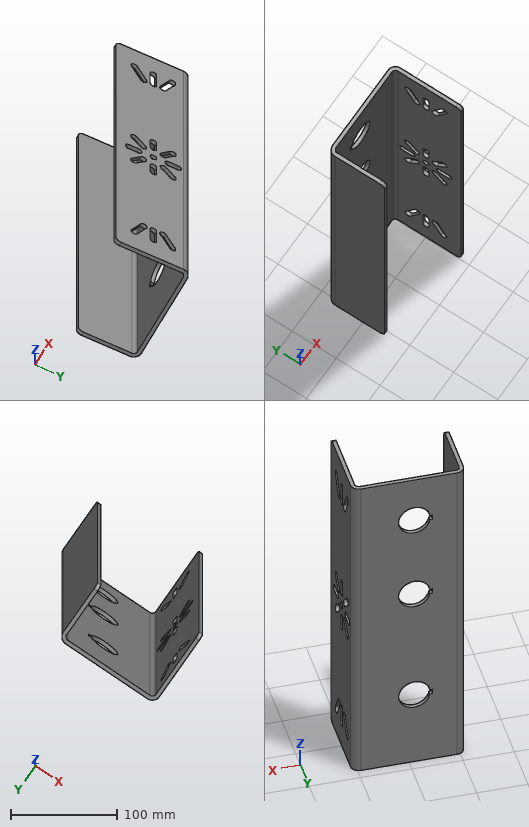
import cadquery as cq
import math

WIDTH = 110.0
DEPTH = 80.0
HEIGHT = 343.0
SHORT_FLANGE_DEPTH = 64.8
THICKNESS = 4.0
INNER_BEND_RADIUS = 4.0
CORNER_RADIUS = 6.0

KEYED_HOLE_DIAMETER = 30.5
KEYED_HOLE_X = -5.0
KEYED_HOLE_HEIGHTS = (122.5, 32.5, -90.0)
KEY_WIDTH = 4.8
KEY_REACH = 18.0

SLOT_WIDTH = 7.0
STAR_SLOT_COUNT = 8
STRAIGHT_SLOT_START = 15.8
STRAIGHT_SLOT_END = 26.0
DIAGONAL_SLOT_START = 15.0
DIAGONAL_SLOT_END = 29.0
FAN_CENTRE_HEIGHT = 108.5
FAN_INNER_RISE = 18.0
FAN_OUTER_RISE = 35.0
FAN_ANGLE = 30.0

half_width = WIDTH / 2
back = DEPTH / 2
front = -DEPTH / 2
short_front = back - SHORT_FLANGE_DEPTH
cut_depth = 3 * THICKNESS


def make_channel():
    """Bent sheet with an unequal U section, extruded along Z."""
    outer_bend_radius = INNER_BEND_RADIUS + THICKNESS
    outer = (
        cq.Workplane("XY")
        .rect(WIDTH, DEPTH)
        .extrude(HEIGHT / 2, both=True)
        .edges("|Z and >Y")
        .fillet(outer_bend_radius)
    )
    inner = (
        cq.Workplane("XY")
        .center(0, -THICKNESS)
        .rect(WIDTH - 2 * THICKNESS, DEPTH)
        .extrude(HEIGHT / 2, both=True)
        .edges("|Z and >Y")
        .fillet(INNER_BEND_RADIUS)
    )
    short_flange_trim = (
        cq.Workplane("XY", origin=(-half_width, front, 0))
        .box(half_width, short_front - front, HEIGHT, centered=(False, False, True))
    )
    channel = outer.cut(inner).cut(short_flange_trim)
    for flange_front in (front, short_front):
        free_edge_zone = cq.selectors.BoxSelector(
            (-WIDTH, flange_front - THICKNESS, -HEIGHT),
            (WIDTH, flange_front + THICKNESS, HEIGHT),
        )
        channel = channel.edges(free_edge_zone).edges("|X").fillet(CORNER_RADIUS)
    return channel


def keyed_hole(height):
    """Round cutter through the web with a key notch on its -X side."""
    plane = cq.Workplane("XZ", origin=(KEYED_HOLE_X, back, height))
    bore = plane.circle(KEYED_HOLE_DIAMETER / 2).extrude(cut_depth, both=True)
    key = plane.center(-KEY_REACH / 2, 0).rect(KEY_REACH, KEY_WIDTH).extrude(cut_depth, both=True)
    return bore.union(key)


def flange_slot(start, end):
    """Slot cutter through the long flange between two (y, z) end centres."""
    dy = end[0] - start[0]
    dz = end[1] - start[1]
    return (
        cq.Workplane("YZ", origin=(half_width, 0, 0))
        .center((start[0] + end[0]) / 2, (start[1] + end[1]) / 2)
        .slot2D(math.hypot(dy, dz) + SLOT_WIDTH, SLOT_WIDTH, math.degrees(math.atan2(dz, dy)))
        .extrude(cut_depth, both=True)
    )


def radial_slot(index):
    """One slot of the central star; every second one is diagonal."""
    angle = 2 * math.pi * index / STAR_SLOT_COUNT
    is_diagonal = index % 2 == 1
    start = DIAGONAL_SLOT_START if is_diagonal else STRAIGHT_SLOT_START
    end = DIAGONAL_SLOT_END if is_diagonal else STRAIGHT_SLOT_END
    direction = (math.cos(angle), math.sin(angle))
    return flange_slot(
        (start * direction[0], start * direction[1]),
        (end * direction[0], end * direction[1]),
    )


def fan_slot(side, end_sign):
    """One slot of the three-slot fan near the top (+1) or bottom (-1) end."""
    spread = side * math.tan(math.radians(FAN_ANGLE))
    return flange_slot(
        (spread * FAN_INNER_RISE, end_sign * (FAN_CENTRE_HEIGHT + FAN_INNER_RISE)),
        (spread * FAN_OUTER_RISE, end_sign * (FAN_CENTRE_HEIGHT + FAN_OUTER_RISE)),
    )


result = make_channel()

for hole_height in KEYED_HOLE_HEIGHTS:
    result = result.cut(keyed_hole(hole_height))

centre_hole = (
    cq.Workplane("YZ", origin=(half_width, 0, 0))
    .circle(SLOT_WIDTH / 2)
    .extrude(cut_depth, both=True)
)
result = result.cut(centre_hole)

for slot_index in range(STAR_SLOT_COUNT):
    result = result.cut(radial_slot(slot_index))

for fan_end in (1, -1):
    for fan_side in (-1, 0, 1):
        result = result.cut(fan_slot(fan_side, fan_end))